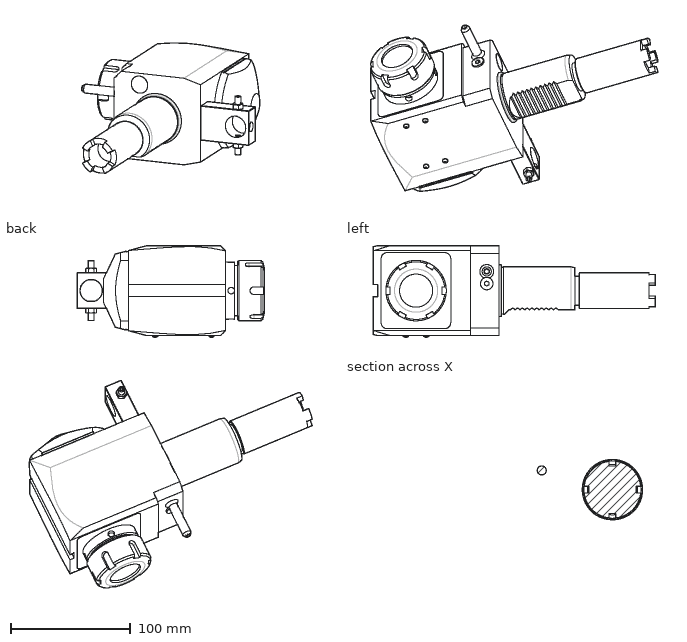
import cadquery as cq
import math


CLEARANCE = 1.0

HOUSING_LENGTH = 105.0
HALF_HEIGHT = 37.5
LEFT_X = -42.0
LEFT_CHAMFER = 4.2
STEP_LEFT_X = -39.0
STEP_CHAMFER = 6.4
STEP_LENGTH = 24.0
RIGHT_X = 39.0
TAPER_START_X = 24.0
TAPER_SLOPE = math.tan(math.radians(15))

CROWN_CURVE = [(LEFT_X - CLEARANCE, 32.9), (-15.0, 36.65), (TAPER_START_X, 34.6), (RIGHT_X + CLEARANCE, 33.4)]
CROWN_SLOPE = 0.238
CROWN_SWEEP = 30.0

KEYWAY_WIDTH = 10.0
KEYWAY_DEPTH = 3.8

MARK_DEPTH = 0.2
PLATE_Y_MIN = 40.3
PLATE_Y_MAX = 98.3
PLATE_HEIGHT = 63.4
PLATE_CORNER_RADIUS = 5.0
FLANGE_PLUG_X = -16.2
FLANGE_PLUG_Z = 27.7
FLANGE_PLUG_RADIUS = 7.4
SIDE_PLUG_Z = 5.9
SIDE_PLUG_RADIUS = 5.2
SIDE_PLUG_HEIGHT = 1.4
SOCKET_FLATS = 3.5
SOCKET_DEPTH = 3.0

RIVET_X = (-30.2, 16.7)
RIVET_OFFSET_Y = 8.5
RIVET_RADIUS = 2.2
RIVET_TIP_RADIUS = 0.5
RIVET_RIM = 0.7
RIVET_HEIGHT = 1.6

SPINDLE_Y = 69.2
NUT_FACE_X = -74.6
NUT_RADIUS = 25.2
NUT_EDGE_RADIUS = 24.0
NUT_FACE_RADIUS = 18.0
NUT_EDGE_LENGTH = 1.5
NUT_RIM_LENGTH = 3.2
NUT_REAR_X = -52.0
NUT_REAR_CHAMFER = 1.1
COLLET_RADIUS = 13.8
COLLET_RECESS = 2.0
NECK_RADIUS = 21.0
COLLAR_RADIUS = 23.9
COLLAR_START_X = -49.6
NUT_SLOT_COUNT = 6
NUT_SLOT_WIDTH = 6.3
NUT_SLOT_FLOOR_RADIUS = 21.8
LOWER_SLOT_END_X = -62.4
UPPER_SLOT_END_X = -58.4
COLLAR_HOLE_COUNT = 4
COLLAR_HOLE_X = -46.7
COLLAR_HOLE_RADIUS = 2.7
COLLAR_HOLE_DEPTH = 4.0

CAP_RADIUS = 40.2
CAP_NECK_END_X = 41.1
CAP_NECK_DROP = 0.6
CAP_RIM_X = 45.5
CAP_END_X = 59.7
CAP_END_RADIUS = 10.0
CAP_FLAT_Y = 100.5

PIN_Y = 10.3
PIN_Z = 16.0
PIN_RADIUS = 3.8
PIN_TIP_X = -71.8
PIN_TIP_RADIUS = 2.3
PIN_TIP_LENGTH = 2.6
PIN_COLLAR_RADIUS = 5.8
PIN_COLLAR_LENGTH = 2.4

FLANGE_RADIUS = 21.7
FLANGE_LENGTH = 2.2
FLANGE_ROUNDING = 1.2
RELIEF_RADIUS = 19.6
RELIEF_END = 3.6
SHANK_RADIUS = 20.0
SHANK_END = 63.2
SHANK_CHAMFER_LENGTH = 3.4
SHANK_END_RADIUS = 19.2
SHANK_NECK_RADIUS = 12.2
DRIVE_RADIUS = 15.0
DRIVE_START = 66.6
DRIVE_END = 130.25
DRIVE_CHAMFER = 0.6
DRIVE_BORE_RADIUS = 10.0
DRIVE_BORE_DEPTH = 25.0
DRIVE_SLOT_COUNT = 4
DRIVE_SLOT_HALF_ANGLE = math.radians(25.5)
DRIVE_SLOT_DEPTH = 5.2

FLAT_Z = -16.0
FLAT_RAMP_START = 4.2
TOOTH_PITCH = 4.0
TOOTH_DEPTH = 1.5
TOOTH_COUNT = 10
TOOTH_START = 9.4

BLOCK_END_X = 82.0
BLOCK_Y_MIN = 1.3
BLOCK_THICKNESS = 15.0
BLOCK_HALF_HEIGHT = 15.0
BLOCK_CHAMFER = 0.5
BLOCK_HOLE_X = 70.0
BLOCK_HOLE_RADIUS = 9.2
END_HOLE_RADIUS = 4.0
SCREW_Y = 6.4
SCREW_RADIUS = 2.5
SCREW_POINT_RADIUS = 2.0
SCREW_POINT_LENGTH = 0.5
SCREW_TOP_Z = 25.0
SCREW_SOCKET_FLATS = 2.5
LOCK_NUT_TOP_Z = 18.8
LOCK_NUT_FLATS = 8.0
LOCK_NUT_CHAMFER = 0.7


def axis_plane(origin, axis):
    """Work plane whose normal is the given axis."""
    side = (0, 0, 1) if axis[2] == 0 else (1, 0, 0)
    return cq.Plane(origin=origin, xDir=side, normal=axis)


def turned(profile, origin, axis):
    """Solid of revolution from (distance along axis, radius) points, closed on the axis."""
    normal = (0, 0, 1) if axis[2] == 0 else (0, 1, 0)
    plane = cq.Plane(origin=origin, xDir=axis, normal=normal)
    points = [(profile[0][0], 0)] + profile + [(profile[-1][0], 0)]
    return cq.Workplane(plane).polyline(points).close().revolve(360, (0, 0, 0), (1, 0, 0))


def rod(origin, axis, radius, length):
    return cq.Workplane(axis_plane(origin, axis)).circle(radius).extrude(length)


def hexagon(origin, axis, flats, length):
    corners = flats / math.cos(math.pi / 6)
    return cq.Workplane(axis_plane(origin, axis)).polygon(6, corners).extrude(length)


def box(x_range, y_range, z_range):
    (x0, x1), (y0, y1), (z0, z1) = x_range, y_range, z_range
    return cq.Workplane("XY").box(x1 - x0, y1 - y0, z1 - z0, centered=False).translate((x0, y0, z0))


def taper_height(x):
    """Half height of the housing on its tapered +X side."""
    return HALF_HEIGHT - (x - TAPER_START_X) * TAPER_SLOPE


def housing_prism(left_x, chamfer, y_start, y_end):
    upper = [
        (left_x, HALF_HEIGHT - chamfer),
        (left_x + chamfer, HALF_HEIGHT),
        (TAPER_START_X, HALF_HEIGHT),
        (RIGHT_X, taper_height(RIGHT_X)),
    ]
    lower = [(x, -z) for x, z in reversed(upper)]
    section = cq.Workplane("XZ", origin=(0, y_start, 0)).polyline(upper + lower).close()
    return section.extrude(y_start - y_end)


def crown_cutter():
    first_x = CROWN_CURVE[0][0]
    last_x = CROWN_CURVE[-1][0]
    above = HALF_HEIGHT + CROWN_SWEEP
    outline = cq.Workplane("XZ", origin=(0, HOUSING_LENGTH, 0)).moveTo(*CROWN_CURVE[0])
    outline = outline.spline(CROWN_CURVE[1:], includeCurrent=True)
    outline = outline.lineTo(last_x, above).lineTo(first_x, above).close()
    sweep = cq.Vector(0, -CROWN_SWEEP, CROWN_SWEEP * CROWN_SLOPE)
    return cq.Workplane(cq.Solid.extrudeLinear(outline.val(), [], sweep))


def plate_recess():
    """Shallow rounded recess around the spindle."""
    recess = box(
        (LEFT_X, LEFT_X + MARK_DEPTH),
        (PLATE_Y_MIN, PLATE_Y_MAX),
        (-PLATE_HEIGHT / 2, PLATE_HEIGHT / 2),
    )
    return recess.edges("|X").fillet(PLATE_CORNER_RADIUS)


def housing():
    body = housing_prism(LEFT_X, LEFT_CHAMFER, STEP_LENGTH, HOUSING_LENGTH)
    body = body.union(housing_prism(STEP_LEFT_X, STEP_CHAMFER, 0, STEP_LENGTH))
    crown = crown_cutter()
    body = body.cut(crown).cut(crown.mirror("XY"))
    keyway = box(
        (LEFT_X, RIGHT_X),
        (HOUSING_LENGTH - KEYWAY_DEPTH, HOUSING_LENGTH),
        (-KEYWAY_WIDTH / 2, KEYWAY_WIDTH / 2),
    )
    body = body.cut(keyway).cut(plate_recess())
    body = body.cut(rod((FLANGE_PLUG_X, 0, FLANGE_PLUG_Z), (0, 1, 0), FLANGE_PLUG_RADIUS, MARK_DEPTH))
    side_plug = (STEP_LEFT_X - SIDE_PLUG_HEIGHT, PIN_Y, SIDE_PLUG_Z)
    body = body.union(rod(side_plug, (1, 0, 0), SIDE_PLUG_RADIUS, SIDE_PLUG_HEIGHT))
    return body.cut(hexagon(side_plug, (1, 0, 0), SOCKET_FLATS, SOCKET_DEPTH))


def rivets():
    profile = [
        (-RIVET_RIM, RIVET_RADIUS),
        (RIVET_RIM, RIVET_RADIUS),
        (RIVET_HEIGHT, RIVET_TIP_RADIUS),
    ]
    heads = cq.Workplane("XY")
    for x in RIVET_X:
        for y in (SPINDLE_Y - RIVET_OFFSET_Y, SPINDLE_Y + RIVET_OFFSET_Y):
            heads = heads.add(turned(profile, (x, y, -HALF_HEIGHT), (0, 0, -1)))
    return heads.combine()


def nut_slot(end_x):
    """Spanner slot on the +Y side of the nut, open to the front and rounded at its inner end."""
    radius = NUT_SLOT_WIDTH / 2
    straight_end = end_x - radius
    slot = box(
        (NUT_FACE_X, straight_end),
        (SPINDLE_Y + NUT_SLOT_FLOOR_RADIUS, SPINDLE_Y + NUT_RADIUS + CLEARANCE),
        (-radius, radius),
    )
    round_end = rod(
        (straight_end, SPINDLE_Y + NUT_SLOT_FLOOR_RADIUS, 0),
        (0, 1, 0),
        radius,
        NUT_RADIUS + CLEARANCE - NUT_SLOT_FLOOR_RADIUS,
    )
    return slot.union(round_end)


def about_spindle(shape, degrees):
    return shape.rotate((0, SPINDLE_Y, 0), (1, SPINDLE_Y, 0), degrees)


def spindle():
    profile = [
        (NUT_FACE_X, NUT_FACE_RADIUS),
        (NUT_FACE_X + NUT_EDGE_LENGTH, NUT_EDGE_RADIUS),
        (NUT_FACE_X + NUT_RIM_LENGTH, NUT_RADIUS),
        (NUT_REAR_X - NUT_REAR_CHAMFER, NUT_RADIUS),
        (NUT_REAR_X, NUT_RADIUS - NUT_REAR_CHAMFER),
        (NUT_REAR_X, NECK_RADIUS),
        (COLLAR_START_X, NECK_RADIUS),
        (COLLAR_START_X, COLLAR_RADIUS),
        (LEFT_X + MARK_DEPTH, COLLAR_RADIUS),
    ]
    nut = turned(profile, (0, SPINDLE_Y, 0), (1, 0, 0))
    nut = nut.cut(rod((NUT_FACE_X, SPINDLE_Y, 0), (1, 0, 0), COLLET_RADIUS, COLLET_RECESS))
    for index in range(NUT_SLOT_COUNT):
        degrees = index * 360 / NUT_SLOT_COUNT
        end_x = UPPER_SLOT_END_X if 0 < degrees < 180 else LOWER_SLOT_END_X
        nut = nut.cut(about_spindle(nut_slot(end_x), degrees))
    hole_floor = (COLLAR_HOLE_X, SPINDLE_Y + COLLAR_RADIUS - COLLAR_HOLE_DEPTH, 0)
    hole = rod(hole_floor, (0, 1, 0), COLLAR_HOLE_RADIUS, COLLAR_HOLE_DEPTH + CLEARANCE)
    for index in range(COLLAR_HOLE_COUNT):
        nut = nut.cut(about_spindle(hole, index * 360 / COLLAR_HOLE_COUNT))
    return nut


def rear_cap():
    """Cone on the +X side, trimmed to the housing tapers behind a lower neck and by a flat at the rear."""
    profile = [(RIGHT_X, CAP_RADIUS), (CAP_RIM_X, CAP_RADIUS), (CAP_END_X, CAP_END_RADIUS)]
    cap = turned(profile, (0, SPINDLE_Y, 0), (1, 0, 0))
    upper = [
        (RIGHT_X, taper_height(RIGHT_X) - CAP_NECK_DROP),
        (CAP_NECK_END_X, taper_height(CAP_NECK_END_X) - CAP_NECK_DROP),
        (CAP_NECK_END_X, taper_height(CAP_NECK_END_X)),
        (CAP_END_X, taper_height(CAP_END_X)),
    ]
    lower = [(x, -z) for x, z in reversed(upper)]
    trim = cq.Workplane("XZ").polyline(upper + lower).close().extrude(-CAP_FLAT_Y)
    return cap.intersect(trim)


def coolant_pin():
    tip_end = PIN_TIP_X + PIN_TIP_LENGTH
    collar_x = STEP_LEFT_X - PIN_COLLAR_LENGTH
    profile = [
        (PIN_TIP_X, PIN_TIP_RADIUS),
        (tip_end, PIN_RADIUS),
        (collar_x, PIN_RADIUS),
        (STEP_LEFT_X, PIN_COLLAR_RADIUS),
    ]
    pin = turned(profile, (0, PIN_Y, PIN_Z), (1, 0, 0))
    return pin.cut(hexagon((PIN_TIP_X, PIN_Y, PIN_Z), (1, 0, 0), SOCKET_FLATS, SOCKET_DEPTH))


def toothed_flat_cutter():
    """Removes the underside of the shank, leaving a ramp at the flange and V grooves in the flat."""
    below = -SHANK_RADIUS - CLEARANCE
    ramp_length = FLAT_Z + SHANK_RADIUS
    points = [(-FLAT_RAMP_START, below), (-FLAT_RAMP_START, -SHANK_RADIUS)]
    points.append((-FLAT_RAMP_START - ramp_length, FLAT_Z))
    for index in range(TOOTH_COUNT):
        groove_start = -TOOTH_START - index * TOOTH_PITCH
        points.append((groove_start, FLAT_Z))
        points.append((groove_start - TOOTH_PITCH / 2, FLAT_Z + TOOTH_DEPTH))
    points.append((-TOOTH_START - TOOTH_COUNT * TOOTH_PITCH, FLAT_Z))
    points += [(-SHANK_END, FLAT_Z), (-SHANK_END, below)]
    section = cq.Workplane("YZ").polyline(points).close()
    return section.extrude(SHANK_RADIUS, both=True)


def drive_slot():
    """Wedge with radial flanks, cut across the end of the drive sleeve."""
    reach = 2 * DRIVE_RADIUS
    half_width = reach * math.tan(DRIVE_SLOT_HALF_ANGLE)
    plane = cq.Workplane("XZ", origin=(0, DRIVE_SLOT_DEPTH - DRIVE_END, 0))
    wedge = plane.polyline([(0, 0), (half_width, reach), (-half_width, reach)]).close()
    return wedge.extrude(DRIVE_SLOT_DEPTH)


def shank():
    profile = [
        (0, RELIEF_RADIUS),
        (RELIEF_END, RELIEF_RADIUS),
        (RELIEF_END, SHANK_RADIUS),
        (SHANK_END - SHANK_CHAMFER_LENGTH, SHANK_RADIUS),
        (SHANK_END, SHANK_END_RADIUS),
        (SHANK_END, SHANK_NECK_RADIUS),
        (DRIVE_START, SHANK_NECK_RADIUS),
        (DRIVE_START, DRIVE_RADIUS - DRIVE_CHAMFER),
        (DRIVE_START + DRIVE_CHAMFER, DRIVE_RADIUS),
        (DRIVE_END, DRIVE_RADIUS),
    ]
    body = turned(profile, (0, 0, 0), (0, -1, 0)).cut(toothed_flat_cutter())
    flange = rod((0, 0, 0), (0, -1, 0), FLANGE_RADIUS, FLANGE_LENGTH)
    body = body.union(flange.faces("<Y").edges().fillet(FLANGE_ROUNDING))
    body = body.cut(rod((0, -DRIVE_END, 0), (0, 1, 0), DRIVE_BORE_RADIUS, DRIVE_BORE_DEPTH))
    for index in range(DRIVE_SLOT_COUNT):
        body = body.cut(drive_slot().rotate((0, 0, 0), (0, 1, 0), index * 360 / DRIVE_SLOT_COUNT))
    return body


def set_screw():
    """Upper set screw with its lock nut and a point reaching into the block hole."""
    up = (0, 0, 1)
    base_z = BLOCK_HALF_HEIGHT - BLOCK_CHAMFER
    base = (BLOCK_HOLE_X, SCREW_Y, base_z)
    nut_height = LOCK_NUT_TOP_Z - base_z
    corner_radius = LOCK_NUT_FLATS / 2 / math.cos(math.pi / 6)
    nut_cone = [
        (0, corner_radius),
        (nut_height - LOCK_NUT_CHAMFER, corner_radius),
        (nut_height, corner_radius - LOCK_NUT_CHAMFER),
    ]
    nut = hexagon(base, up, LOCK_NUT_FLATS, nut_height).intersect(turned(nut_cone, base, up))
    screw = nut.union(rod(base, up, SCREW_RADIUS, SCREW_TOP_Z - base_z))
    point_z = BLOCK_HOLE_RADIUS - SCREW_POINT_LENGTH
    screw = screw.union(rod((BLOCK_HOLE_X, SCREW_Y, point_z), up, SCREW_POINT_RADIUS, base_z - point_z))
    top = (BLOCK_HOLE_X, SCREW_Y, SCREW_TOP_Z)
    return screw.cut(hexagon(top, (0, 0, -1), SCREW_SOCKET_FLATS, SOCKET_DEPTH))


def clamp_block():
    block = box(
        (RIGHT_X, BLOCK_END_X),
        (BLOCK_Y_MIN, BLOCK_Y_MIN + BLOCK_THICKNESS),
        (-BLOCK_HALF_HEIGHT, BLOCK_HALF_HEIGHT),
    )
    block = block.faces(">X or >Z or <Z").edges("not <X").chamfer(BLOCK_CHAMFER)
    block = block.cut(rod((BLOCK_HOLE_X, BLOCK_Y_MIN, 0), (0, 1, 0), BLOCK_HOLE_RADIUS, BLOCK_THICKNESS))
    end_hole_length = BLOCK_END_X - BLOCK_HOLE_X
    block = block.cut(rod((BLOCK_HOLE_X, SCREW_Y, 0), (1, 0, 0), END_HOLE_RADIUS, end_hole_length))
    upper_screw = set_screw()
    return block.union(upper_screw).union(upper_screw.mirror("XY"))


result = housing()
for feature in (rivets(), spindle(), rear_cap(), coolant_pin(), shank(), clamp_block()):
    result = result.union(feature)